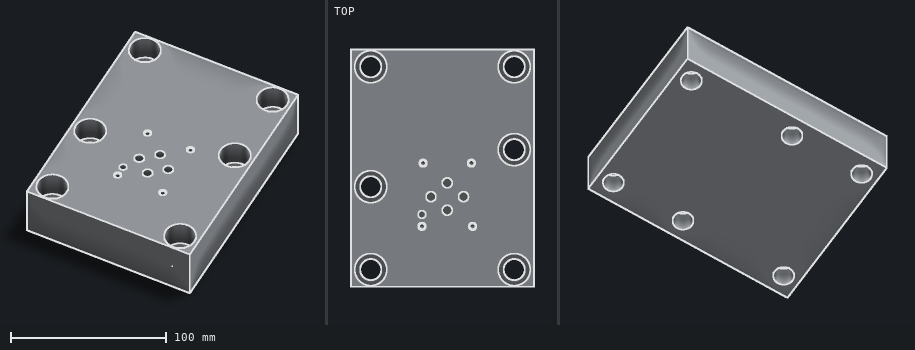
import cadquery as cq
import math

width = 117.5
length = 152.4
height = 38.1

mount_diameter = 13.4
counterbore_diameter = 20.5
counterbore_depth = 19.0
mount_x = 46.0
mount_corner_y = 65.0
mount_middle_y = 11.9

valve_center_x = 3.0
valve_top_y = 3.2

screw_diameter = 3.7
screw_mouth_diameter = 4.9
screw_depth = 15.2
drill_point_angle = 118.0
screw_upper_spacing = 31.0
screw_lower_spacing = 32.5
screw_row_distance = 40.5

port_diameter = 6.4
port_depth = 19.0
side_port_spacing = 20.9
upper_port_row = 12.6
side_port_row = 21.5
lower_port_row = 30.2

pin_diameter = 4.9
pin_depth = 7.6
pin_row = 32.9


def blind_hole(x, y, diameter, depth):
    """Flat-bottomed hole cut down from the top face."""
    return cq.Workplane("XY", origin=(x, y, height)).circle(diameter / 2).extrude(-depth)


def mounting_hole(x, y):
    """Through hole with a counterbore from the top face."""
    through = blind_hole(x, y, mount_diameter, height)
    return through.union(blind_hole(x, y, counterbore_diameter, counterbore_depth))


def screw_hole(x, y):
    """Drilled hole with a 45 degree countersunk mouth and a conical bottom."""
    radius = screw_diameter / 2
    mouth_radius = screw_mouth_diameter / 2
    mouth_depth = mouth_radius - radius
    tip_length = radius / math.tan(math.radians(drill_point_angle / 2))
    half_section = [
        (0, 0),
        (mouth_radius, 0),
        (radius, -mouth_depth),
        (radius, -screw_depth),
        (0, -screw_depth - tip_length),
    ]
    profile = cq.Workplane("XZ", origin=(x, y, height)).polyline(half_section).close()
    return profile.revolve(360, (0, 0), (0, 1))


result = cq.Workplane("XY").box(width, length, height, centered=(True, True, False))

for side in (-1, 1):
    for y in (-mount_corner_y, side * mount_middle_y, mount_corner_y):
        result = result.cut(mounting_hole(side * mount_x, y))

for row, spacing in ((0, screw_upper_spacing), (screw_row_distance, screw_lower_spacing)):
    for side in (-1, 1):
        result = result.cut(screw_hole(valve_center_x + side * spacing / 2, valve_top_y - row))

for x_offset, row in (
    (0, upper_port_row),
    (-side_port_spacing / 2, side_port_row),
    (side_port_spacing / 2, side_port_row),
    (0, lower_port_row),
):
    result = result.cut(blind_hole(valve_center_x + x_offset, valve_top_y - row, port_diameter, port_depth))

pin_x = valve_center_x - screw_lower_spacing / 2
result = result.cut(blind_hole(pin_x, valve_top_y - pin_row, pin_diameter, pin_depth))